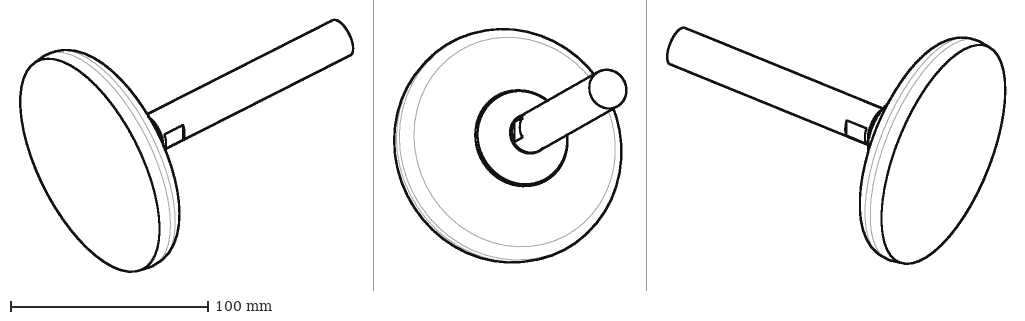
import cadquery as cq
import math

base_diameter = 120.0
base_radius = base_diameter / 2
sole_radius = 59.1
sole_height = 6.2
shoulder_start = 9.5
shoulder_start_radius = 59.6
shoulder_arc_radius = 9.2
cone_start = 16.0
cone_start_radius = 54.0
cone_end = 26.4
cone_end_radius = 24.8
rim_height = 27.8

total_length = 159.0
shank_radius = 10.0
shank_start = 39.0
neck_radius = 9.5
neck_start = 38.0
ball_radius = 30.2
ball_center = 9.5
flat_start = 40.7
flat_end = 52.5
across_flats = 17.2

ball_rim_radius = math.sqrt(ball_radius**2 - (rim_height - ball_center)**2)
ball_top_radius = math.sqrt(ball_radius**2 - (neck_start - ball_center)**2)


def revolve_about_y(outline):
    return outline.close().revolve(360, (0, 0, 0), (0, 1, 0))


def make_base():
    """Foot with a rounded shoulder, a conical top, a steep rim and a flat seat for the stud."""
    outline = (
        cq.Workplane("XY")
        .lineTo(sole_radius, 0)
        .lineTo(base_radius, sole_height)
        .lineTo(shoulder_start_radius, shoulder_start)
        .radiusArc((cone_start_radius, cone_start), -shoulder_arc_radius)
        .lineTo(cone_end_radius, cone_end)
        .lineTo(ball_rim_radius, rim_height)
        .lineTo(0, rim_height)
    )
    return revolve_about_y(outline)


def cut_wrench_flats(stud):
    """Cut two opposite flats, facing -X and +X, near the foot of the shank."""
    flat_length = flat_end - flat_start
    for side in (-1, 1):
        cutter = cq.Workplane("XY").box(shank_radius, flat_length, 2 * shank_radius).translate(
            (side * (across_flats + shank_radius) / 2, (flat_start + flat_end) / 2, 0)
        )
        stud = stud.cut(cutter)
    return stud


def make_stud():
    """Domed foot, short relieved neck and cylindrical shank."""
    middle_angle = (
        math.atan2(rim_height - ball_center, ball_rim_radius)
        + math.atan2(neck_start - ball_center, ball_top_radius)
    ) / 2
    dome_middle = (
        ball_radius * math.cos(middle_angle),
        ball_center + ball_radius * math.sin(middle_angle),
    )
    outline = (
        cq.Workplane("XY")
        .moveTo(0, rim_height)
        .lineTo(ball_rim_radius, rim_height)
        .threePointArc(dome_middle, (ball_top_radius, neck_start))
        .lineTo(neck_radius, neck_start)
        .lineTo(shank_radius, shank_start)
        .lineTo(shank_radius, total_length)
        .lineTo(0, total_length)
    )
    return cut_wrench_flats(revolve_about_y(outline))


base = make_base()
stud = make_stud()
result = cq.Compound.makeCompound([base.val(), stud.val()])